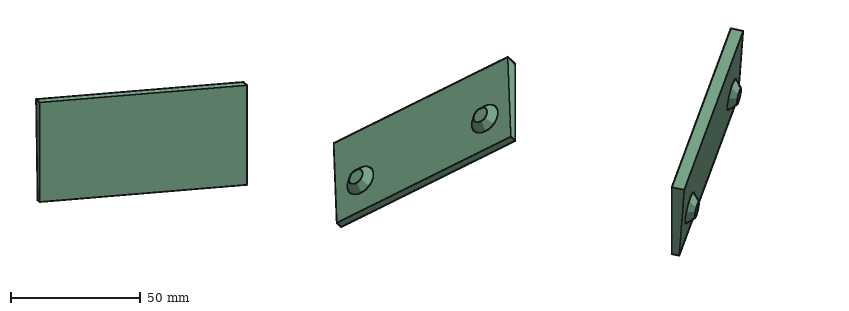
import cadquery as cq
import math

length = 84.0
height = 40.15
top_thickness = 5.0
bottom_thickness = 3.0

stud_spacing = 60.0
stud_center_height = 15.2
stud_base_radius = 6.3
stud_tip_radius = 3.3
stud_height = 2.9
root_depth = 0.4

slope = (top_thickness - bottom_thickness) / height
slope_angle = math.atan(slope)


def make_plate():
    profile = [
        (0, 0),
        (0, height),
        (-top_thickness, height),
        (-bottom_thickness, 0),
    ]
    return cq.Workplane("XZ").polyline(profile).close().extrude(length / 2, both=True)


def make_stud(y):
    face_x = -bottom_thickness - slope * stud_center_height
    outward = (-math.cos(slope_angle), 0, -math.sin(slope_angle))
    profile = [
        (0, -root_depth),
        (stud_base_radius, -root_depth),
        (stud_base_radius, 0),
        (stud_tip_radius, stud_height),
        (0, stud_height),
    ]
    across = cq.Vector(0, 1, 0)
    section = cq.Plane(
        origin=(face_x, y, stud_center_height),
        xDir=across,
        normal=across.cross(cq.Vector(*outward)),
    )
    return cq.Workplane(section).polyline(profile).close().revolve(360, (0, 0), (0, 1))


result = make_plate()
for stud_y in (-stud_spacing / 2, stud_spacing / 2):
    result = result.union(make_stud(stud_y))